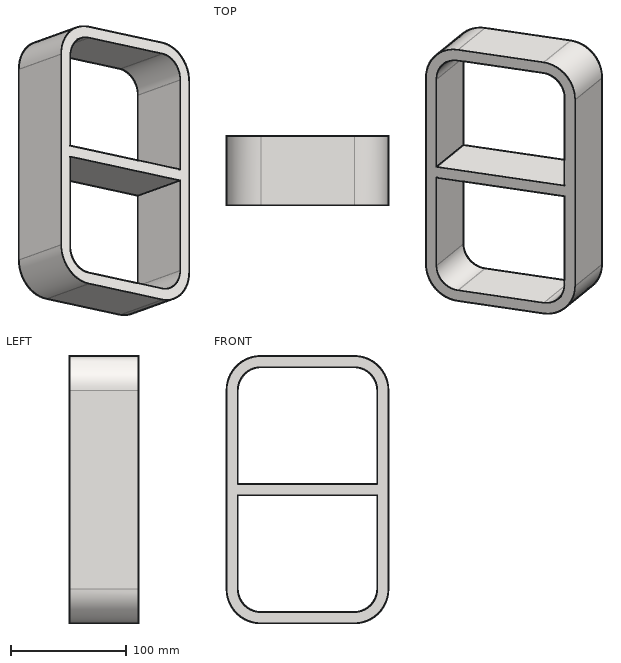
import cadquery as cq

width = 140.5
depth = 60.0
height = 232.0

wall = 10.0
outer_radius = 30.0
inner_radius = outer_radius - wall

inner_width = width - 2 * wall
inner_height = height - 2 * wall


def rounded_block(block_width, block_height, radius):
    """Centred block with the four edges along Y rounded."""
    return cq.Workplane("XY").box(block_width, depth, block_height).edges("|Y").fillet(radius)


frame = rounded_block(width, height, outer_radius).cut(
    rounded_block(inner_width, inner_height, inner_radius)
)

shelf = cq.Workplane("XY").box(inner_width + wall, depth, wall)

result = frame.union(shelf)